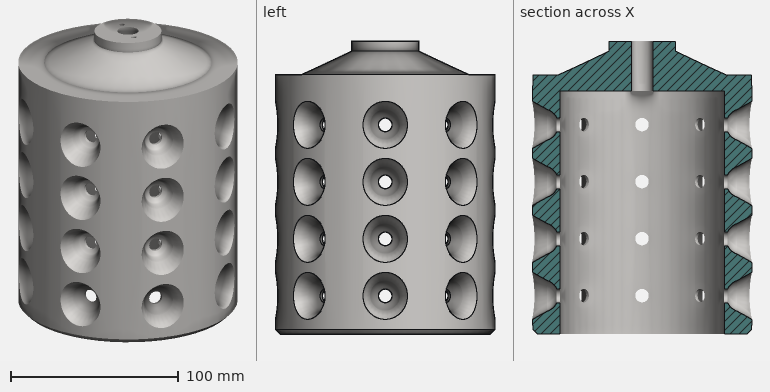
import cadquery as cq
import math

drum_radius = 65.5
drum_height = 155.0
bottom_chamfer = 3.0
shoulder_base_radius = 50.0
neck_radius = 20.0
neck_bottom = 169.0
overall_height = 175.0

cavity_radius = 49.0
cavity_height = 145.0

center_bore_diameter = 12.7
pin_hole_diameter = 3.2
pin_hole_offset = 11.0

funnel_columns = 8
funnel_rows = 4
funnel_pitch = 34.0
lowest_funnel_z = 23.0
through_radius = 4.0
seat_radius = 9.5
seat_center_distance = 59.6
seat_rim_radius = 9.0
mouth_radius = 14.0
cutter_overrun = 1.0


def make_body():
    profile = (
        cq.Workplane("XZ")
        .moveTo(0, 0)
        .lineTo(drum_radius - bottom_chamfer, 0)
        .lineTo(drum_radius, bottom_chamfer)
        .lineTo(drum_radius, drum_height)
        .lineTo(shoulder_base_radius, drum_height)
        .lineTo(neck_radius, neck_bottom)
        .lineTo(neck_radius, overall_height)
        .lineTo(0, overall_height)
        .close()
    )
    return profile.revolve(360, (0, 0, 0), (0, 1, 0))


def make_cavity():
    return cq.Workplane("XY").circle(cavity_radius).extrude(cavity_height)


def make_neck_holes():
    bore = cq.Workplane("XY").circle(center_bore_diameter / 2).extrude(overall_height)
    pins = (
        cq.Workplane("XY")
        .pushPoints([(-pin_hole_offset, 0), (pin_hole_offset, 0)])
        .circle(pin_hole_diameter / 2)
        .extrude(overall_height)
    )
    return bore.union(pins)


def seat_distance(radius):
    """Distance from the drum axis at which the spherical seat has the given radius."""
    return seat_center_distance - math.sqrt(seat_radius**2 - radius**2)


def make_funnel():
    """Funnel on the +X axis: through hole, spherical seat, then a cone that opens outward."""
    throat_distance = seat_distance(through_radius)
    rim_distance = seat_distance(seat_rim_radius)
    mid_radius = (through_radius + seat_rim_radius) / 2
    mouth_slope = (mouth_radius - seat_rim_radius) / (drum_radius - rim_distance)
    cutter_end = drum_radius + cutter_overrun
    cutter_end_radius = mouth_radius + mouth_slope * (cutter_end - drum_radius)
    inner_end = cavity_radius - cutter_overrun
    profile = (
        cq.Workplane("XY")
        .moveTo(inner_end, 0)
        .lineTo(inner_end, through_radius)
        .lineTo(throat_distance, through_radius)
        .threePointArc((seat_distance(mid_radius), mid_radius), (rim_distance, seat_rim_radius))
        .lineTo(cutter_end, cutter_end_radius)
        .lineTo(cutter_end, 0)
        .close()
    )
    return profile.revolve(360, (0, 0, 0), (1, 0, 0))


def cut_funnels(body):
    funnel = make_funnel()
    for row in range(funnel_rows):
        raised = funnel.translate((0, 0, lowest_funnel_z + row * funnel_pitch))
        for column in range(funnel_columns):
            angle = column * 360.0 / funnel_columns
            body = body.cut(raised.rotate((0, 0, 0), (0, 0, 1), angle))
    return body


drilled_body = make_body().cut(make_cavity()).cut(make_neck_holes())
result = cut_funnels(drilled_body)